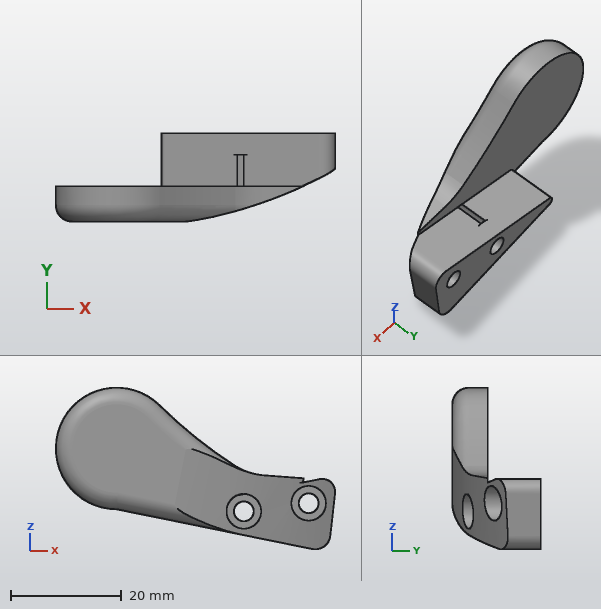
import cadquery as cq
import math


head_radius = 11.0
paddle_depth = 6.45
rim_radius = 3.0
neck_start_angle = 45.2
neck_middle = (14.7, 1.6)
neck_end = (21.45, -3.2)
bend_middle = (23.65, -4.25)
bend_end = (26.1, -4.8)
top_edge_slope = -0.075

block_depth = 9.55
block_top_corner = (39.8, -4.9)
block_bottom_corner = (38.2, -18.75)
top_corner_radius = 2.35
bottom_corner_radius = 2.75
nose_radius = 0.9
nose_x = 8.95

hole_centers = [(22.95, -11.35), (34.65, -9.9)]
hole_diameter = 3.55
counterbore_diameter = 6.25
counterbore_floor = 5.6

relief_tilt = 11.3
relief_start = (12.25, -paddle_depth)
relief_middle = (25.8, -3.35)
relief_end = (42.35, 4.5)
relief_margin = 10.1
relief_width = 100.85

bottom_slope = (block_bottom_corner[1] + head_radius) / block_bottom_corner[0]
bottom_angle = math.atan(bottom_slope)


def extrude_y(outline, y_start, y_end):
    """Solid from a closed outline on the XZ plane, between two Y positions."""
    return outline.extrude(y_start - y_end).translate((0, y_start, 0))


def polar(center, radius, angle):
    """Point at a distance and angle from a center."""
    return (center[0] + radius * math.cos(angle), center[1] + radius * math.sin(angle))


def make_paddle():
    """Round head and tapering neck with a rounded front rim."""
    neck_start = polar((0, 0), head_radius, math.radians(neck_start_angle))
    end_x = block_top_corner[0]
    end_top = (end_x, bend_end[1] + top_edge_slope * (end_x - bend_end[0]))
    end_bottom = (end_x, -head_radius + bottom_slope * end_x)
    outline = (
        cq.Workplane("XZ")
        .moveTo(0, -head_radius)
        .threePointArc((-head_radius, 0), neck_start)
        .threePointArc(neck_middle, neck_end)
        .threePointArc(bend_middle, bend_end)
        .lineTo(*end_top)
        .lineTo(*end_bottom)
        .close()
    )
    paddle = extrude_y(outline, 0, -paddle_depth)
    rim = paddle.faces("<Y").edges()
    return rim.filter(lambda edge: edge.Center().x < end_x - rim_radius).fillet(rim_radius)


def make_block():
    """Wedge behind the paddle, from a round nose to a wide right end."""
    nose_z = -head_radius + bottom_slope * nose_x + nose_radius / math.cos(bottom_angle)
    nose = (nose_x, nose_z)
    run = block_top_corner[0] - nose_x
    rise = block_top_corner[1] - nose_z
    top_angle = math.atan2(rise, run) - math.asin(nose_radius / math.hypot(run, rise))
    nose_top = polar(nose, nose_radius, top_angle + math.pi / 2)
    nose_bottom = polar(nose, nose_radius, bottom_angle - math.pi / 2)
    outline = (
        cq.Workplane("XZ")
        .moveTo(*nose_top)
        .lineTo(*block_top_corner)
        .lineTo(*block_bottom_corner)
        .lineTo(*nose_bottom)
        .threePointArc((nose_x - nose_radius, nose_z), nose_top)
        .close()
    )
    block = extrude_y(outline, 0, block_depth)
    for corner, radius in (
        (block_top_corner, top_corner_radius),
        (block_bottom_corner, bottom_corner_radius),
    ):
        corner_middle = (corner[0], block_depth / 2, corner[1])
        block = block.edges(cq.selectors.NearestToPointSelector(corner_middle)).fillet(radius)
    return block


def make_relief():
    """Everything in front of the curved face that slopes back toward the right end."""
    end_slope = (relief_end[1] - relief_middle[1]) / (relief_end[0] - relief_middle[0])
    far = (relief_end[0] + relief_margin, relief_end[1] + end_slope * relief_margin)
    front_y = -paddle_depth - relief_margin
    return (
        cq.Workplane("XY")
        .moveTo(*relief_start)
        .threePointArc(relief_middle, relief_end)
        .lineTo(*far)
        .lineTo(far[0], front_y)
        .lineTo(relief_start[0], front_y)
        .close()
        .extrude(relief_width / 2, both=True)
        .rotate((0, 0, 0), (0, 1, 0), relief_tilt)
    )


def make_screw_holes():
    """Through holes with wide front counterbores."""
    sketch = cq.Workplane("XZ").pushPoints(hole_centers)
    holes = extrude_y(sketch.circle(hole_diameter / 2), -paddle_depth, block_depth)
    counterbores = extrude_y(sketch.circle(counterbore_diameter / 2), -paddle_depth, counterbore_floor)
    return holes.union(counterbores)


result = make_paddle().union(make_block()).cut(make_relief()).cut(make_screw_holes())